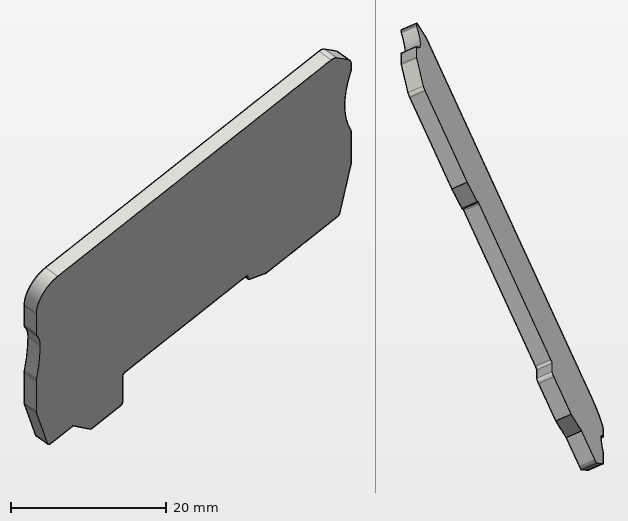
import cadquery as cq
import math

thickness = 2.2
length = 58.8
height = 35.05
half_length = length / 2

chamfer = 3.2
chamfer_top_round = 1.45
chamfer_side_round = 2.0
corner_radius = 4.0

back_notch_top = 29.9
back_notch_bottom = 18.05
back_notch_depth = 1.25
back_notch_round = 0.9

front_notch_top = 26.9
front_notch_deepest = 24.35
front_notch_bottom = 18.05
front_notch_depth = 0.7
front_notch_top_round = 0.9
front_notch_bottom_round = 1.75

shoulder_z = 3.4
taper_top = 11.75
taper_round = 1.0
taper_angle = math.radians(15)
taper_inset = (taper_top - shoulder_z) * math.tan(taper_angle)
end_y = half_length - taper_inset

recess_z = 5.9
recess_back_y = 10.1
recess_front_y = -13.25
lead_in_start_y = 13.45
lead_in_top_z = 4.9
foot_end_y = -19.2
foot_slope_top_y = -22.5

small_round = 0.6
recess_round = 0.4


def shallow_arc_midpoint(edge_y, deepest_z, end_z, depth):
    """Point on an arc that leaves the deepest point vertically and ends on the plate edge."""
    inward = -math.copysign(1, edge_y)
    run = end_z - deepest_z
    radius = (run**2 + depth**2) / (2 * depth)
    rise = radius - math.sqrt(radius**2 - (run / 2) ** 2)
    return edge_y + inward * (depth - rise), deepest_z + run / 2


def round_corner(plate, y, z, radius):
    """Round the through-thickness edge nearest to the given outline corner."""
    corner = cq.selectors.NearestToPointSelector((0, y, z))
    return plate.edges("|X").edges(corner).fillet(radius)


front_notch_bed = (-half_length + front_notch_depth, front_notch_deepest)
back_notch_bed = (half_length - back_notch_depth, (back_notch_top + back_notch_bottom) / 2)

outline = (
    cq.Workplane("YZ", origin=(-thickness / 2, 0, 0))
    .moveTo(half_length - chamfer, height)
    .lineTo(half_length, height - chamfer)
    .lineTo(half_length, back_notch_top)
    .threePointArc(back_notch_bed, (half_length, back_notch_bottom))
    .lineTo(half_length, taper_top)
    .lineTo(end_y, shoulder_z)
    .lineTo(lead_in_start_y, shoulder_z)
    .lineTo(recess_back_y, lead_in_top_z)
    .lineTo(recess_back_y, recess_z)
    .lineTo(recess_front_y, recess_z)
    .lineTo(recess_front_y, 0)
    .lineTo(foot_end_y, 0)
    .lineTo(foot_slope_top_y, shoulder_z)
    .lineTo(-end_y, shoulder_z)
    .lineTo(-half_length, taper_top)
    .lineTo(-half_length, front_notch_bottom)
    .threePointArc(
        shallow_arc_midpoint(-half_length, front_notch_deepest, front_notch_bottom, front_notch_depth),
        front_notch_bed,
    )
    .threePointArc(
        shallow_arc_midpoint(-half_length, front_notch_deepest, front_notch_top, front_notch_depth),
        (-half_length, front_notch_top),
    )
    .lineTo(-half_length, height)
    .close()
)

rounded_corners = [
    (half_length - chamfer, height, chamfer_top_round),
    (half_length, height - chamfer, chamfer_side_round),
    (-half_length, height, corner_radius),
    (half_length, back_notch_top, back_notch_round),
    (half_length, back_notch_bottom, back_notch_round),
    (-half_length, front_notch_top, front_notch_top_round),
    (-half_length, front_notch_bottom, front_notch_bottom_round),
    (half_length, taper_top, taper_round),
    (-half_length, taper_top, taper_round),
    (end_y, shoulder_z, small_round),
    (-end_y, shoulder_z, small_round),
    (recess_back_y, lead_in_top_z, recess_round),
    (recess_back_y, recess_z, recess_round),
    (recess_front_y, recess_z, recess_round),
    (recess_front_y, 0, small_round),
]

result = outline.extrude(thickness)
for corner_y, corner_z, radius in rounded_corners:
    result = round_corner(result, corner_y, corner_z, radius)